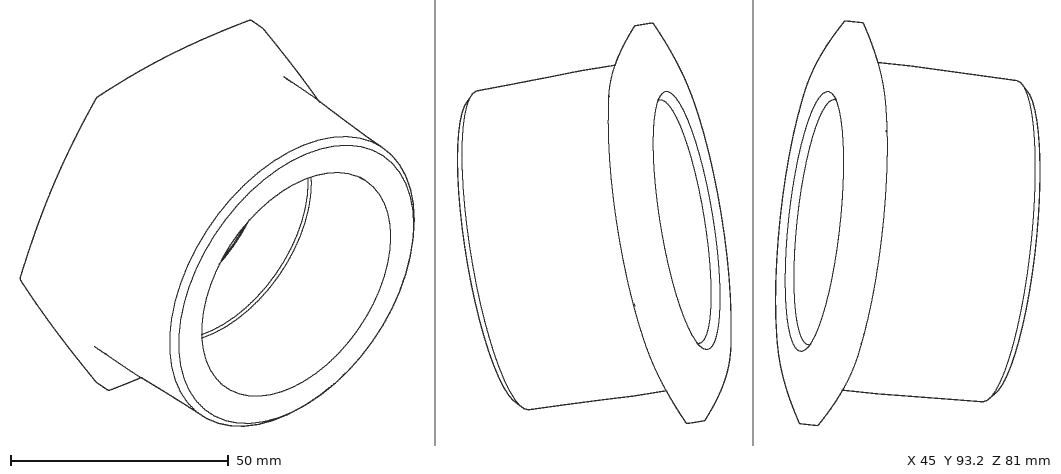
import cadquery as cq
import math

TOTAL_LENGTH = 45.0

ACROSS_FLATS = 81.0
FLANGE_THICKNESS = 8.0
CORNER_RADIUS = 1.0
EDGE_RADIUS = 0.5
FACE_DIAMETER = 80.0
FACE_CHAMFER_ANGLE = 15.0

BODY_DIAMETER = 75.8
TAPER_START = 18.55
TAPER_RATIO = 0.06
END_CHAMFER = 1.5

ROOT_RADIUS = 0.3
SELECT_MARGIN = 0.1

BORE_DIAMETER = 56.7
BORE_MOUTH_DIAMETER = 60.0
BORE_CHAMFER_LENGTH = 1.7
RELIEF_START = 16.4
RELIEF_LEAD_IN = 0.7
RELIEF_DIAMETER = 57.3


def revolve_about_x(outline):
    """Revolve (x, radius) points about the X axis."""
    return cq.Workplane("XY").polyline(outline).close().revolve(360, (0, 0, 0), (1, 0, 0))


def make_flange():
    """Hexagon with two flats facing up and down, bevelled to a round face on both sides."""
    across_corners = ACROSS_FLATS / math.cos(math.radians(30))
    hexagon = (
        cq.Workplane("YZ")
        .polygon(6, across_corners)
        .extrude(FLANGE_THICKNESS)
        .edges("|X")
        .fillet(CORNER_RADIUS)
    )

    face_radius = FACE_DIAMETER / 2
    rim_radius = across_corners / 2
    bevel_depth = (rim_radius - face_radius) * math.tan(math.radians(FACE_CHAMFER_ANGLE))
    bevelled_disc = revolve_about_x([
        (0, 0),
        (0, face_radius),
        (bevel_depth, rim_radius),
        (FLANGE_THICKNESS - bevel_depth, rim_radius),
        (FLANGE_THICKNESS, face_radius),
        (FLANGE_THICKNESS, 0),
    ])
    flange = hexagon.intersect(bevelled_disc)

    bevel_edges = flange.faces("#X").edges("not |X")
    return bevel_edges.fillet(EDGE_RADIUS)


def make_spigot():
    """Cylindrical neck followed by a tapered length with a chamfered end."""
    neck_radius = BODY_DIAMETER / 2
    taper_end = TOTAL_LENGTH - END_CHAMFER
    taper_end_radius = neck_radius - (taper_end - TAPER_START) * TAPER_RATIO / 2
    return revolve_about_x([
        (0, 0),
        (0, neck_radius),
        (TAPER_START, neck_radius),
        (taper_end, taper_end_radius),
        (TOTAL_LENGTH, taper_end_radius - END_CHAMFER),
        (TOTAL_LENGTH, 0),
    ])


def make_bore():
    """Through bore with a chamfered mouth and a short cone opening to a slightly wider inner length."""
    bore_radius = BORE_DIAMETER / 2
    relief_radius = RELIEF_DIAMETER / 2
    return revolve_about_x([
        (0, 0),
        (0, BORE_MOUTH_DIAMETER / 2),
        (BORE_CHAMFER_LENGTH, bore_radius),
        (RELIEF_START, bore_radius),
        (RELIEF_START + RELIEF_LEAD_IN, relief_radius),
        (TOTAL_LENGTH, relief_radius),
        (TOTAL_LENGTH, 0),
    ])


def root_edge():
    """Box selector around the circle where the spigot leaves the flange."""
    reach = BODY_DIAMETER / 2 + SELECT_MARGIN
    return cq.selectors.BoxSelector(
        (FLANGE_THICKNESS - SELECT_MARGIN, -reach, -reach),
        (FLANGE_THICKNESS + SELECT_MARGIN, reach, reach),
        boundingbox=True,
    )


body = make_flange().union(make_spigot())
body = body.edges(root_edge()).fillet(ROOT_RADIUS)
result = body.cut(make_bore())